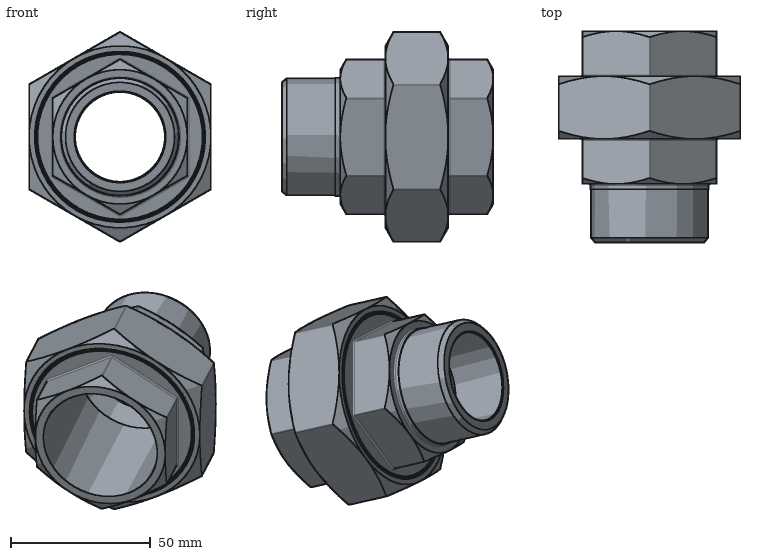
import cadquery as cq
import math


total_length = 75.5
tail_length = 20.9
body_hex_length = 16.1
nut_start = tail_length + body_hex_length
nut_end = total_length - body_hex_length

nut_flats = 65.0
body_flats = 48.0
hex_corner_radius = 0.3
hex_chamfer_angle = 30.0
root_fillet = 0.5

nut_hole_diameter = 61.0
disc_diameter = 60.4
raised_face_diameter = 59.0
raised_face_height = 0.15
disc_chamfer = 0.3
seam_depth = 1.0

thread_diameter = 41.9
thread_tip_diameter = 38.95
thread_chamfer_length = 1.7
collar_diameter = 42.3
collar_length = 1.9
collar_fillet = 0.45

bore_diameter = 32.0
bore_chamfer = 0.4
bore_depth = tail_length
female_bore_diameter = 42.1


def revolve_about_y(profile):
    """Full turn of a closed (radius, y) profile about the Y axis."""
    return profile.close().revolve(360, (0, 0, 0), (0, 1, 0))


def hexagon(flats, start, end):
    """Hexagonal prism along Y with slightly rounded corners."""
    corner_diameter = flats / math.cos(math.radians(30))
    prism = cq.Workplane("XZ", origin=(0, end, 0)).polygon(6, corner_diameter).extrude(end - start)
    prism = prism.rotate((0, 0, 0), (0, 1, 0), 30)
    return prism.edges("|Y").fillet(hex_corner_radius)


def corner_trim(flats, face, inward):
    """Ring outside the cone that chamfers hexagon corners down to the inscribed circle.

    face is the Y of the end face and inward (+1 or -1) points from it into the hexagon.
    """
    inner = flats / 2
    outer = flats
    drop = (outer - inner) * math.tan(math.radians(hex_chamfer_angle))
    points = [(inner, face), (outer, face), (outer, face + inward * drop)]
    return revolve_about_y(cq.Workplane("XY").polyline(points))


def seam(face, inward):
    """Stepped ring removed where the nut hole surrounds an end disc."""
    raised_radius = raised_face_diameter / 2
    disc_radius = disc_diameter / 2
    hole_radius = nut_hole_diameter / 2
    disc_face = face + inward * raised_face_height
    chamfer_end = disc_face + inward * disc_chamfer
    floor = face + inward * seam_depth
    points = [
        (raised_radius, face),
        (raised_radius, disc_face),
        (disc_radius - disc_chamfer, disc_face),
        (disc_radius, chamfer_end),
        (disc_radius, floor),
        (hole_radius, floor),
        (hole_radius, face),
    ]
    return revolve_about_y(cq.Workplane("XY").polyline(points))


def body():
    """Two hexagons on the core inside the nut, with filleted roots and chamfered outer ends."""
    core = cq.Workplane("XZ", origin=(0, nut_end, 0)).circle(disc_diameter / 2).extrude(nut_end - nut_start)
    solid = core.union(hexagon(body_flats, tail_length, nut_start))
    solid = solid.union(hexagon(body_flats, nut_end, total_length))
    reach = disc_diameter / 2 - root_fillet
    margin = root_fillet / 2
    roots = cq.selectors.BoxSelector(
        (-reach, nut_start - margin, -reach), (reach, nut_end + margin, reach), boundingbox=True
    )
    solid = solid.edges(roots).fillet(root_fillet)
    solid = solid.cut(corner_trim(body_flats, tail_length, 1))
    return solid.cut(corner_trim(body_flats, total_length, -1))


def nut():
    """Large hexagon chamfered at both ends."""
    solid = hexagon(nut_flats, nut_start, nut_end)
    solid = solid.cut(corner_trim(nut_flats, nut_start, 1))
    return solid.cut(corner_trim(nut_flats, nut_end, -1))


def tail():
    """Male thread blank with a chamfered tip and a collar filleted into the hexagon face."""
    thread_radius = thread_diameter / 2
    collar_radius = collar_diameter / 2
    collar_start = tail_length - collar_length
    profile = (
        cq.Workplane("XY")
        .lineTo(thread_tip_diameter / 2, 0)
        .lineTo(thread_radius, thread_chamfer_length)
        .lineTo(thread_radius, collar_start)
        .lineTo(collar_radius, collar_start)
        .lineTo(collar_radius, tail_length - collar_fillet)
        .radiusArc((collar_radius + collar_fillet, tail_length), collar_fillet)
        .lineTo(0, tail_length)
    )
    return revolve_about_y(profile)


def bore():
    """Through passage: narrow bore, 45 degree widening, then plain female bore."""
    bore_radius = bore_diameter / 2
    female_radius = female_bore_diameter / 2
    points = [
        (0, 0),
        (bore_radius + bore_chamfer, 0),
        (bore_radius, bore_chamfer),
        (bore_radius, bore_depth),
        (female_radius, bore_depth + female_radius - bore_radius),
        (female_radius, total_length),
        (0, total_length),
    ]
    return revolve_about_y(cq.Workplane("XY").polyline(points))


result = body().union(nut()).union(tail())
result = result.cut(seam(nut_start, 1)).cut(seam(nut_end, -1)).cut(bore())